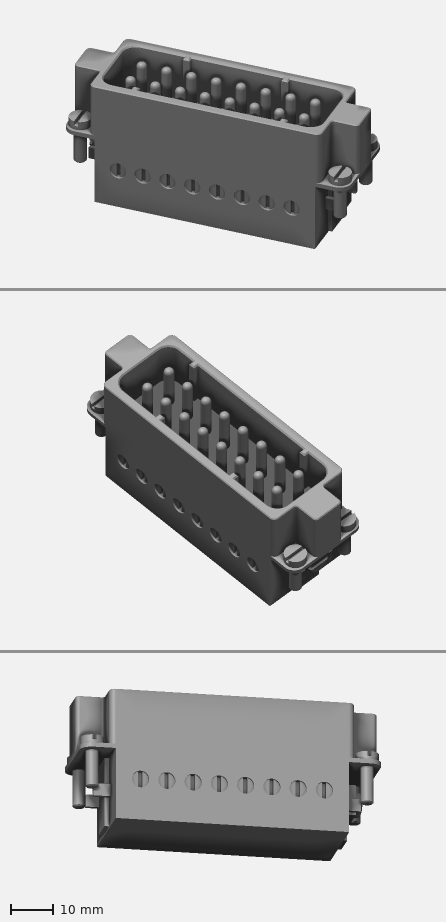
import cadquery as cq

total_length = 72.3
width = 23.0
height = 32.0
lower_length = 56.0

flange_bottom = 17.3
flange_top = 18.4
flange_corner_radius = 3.0

shroud_length = 58.8
tongue_width = 8.7
shroud_corner_radius = 1.4
tongue_corner_radius = 1.0
tongue_root_radius = 0.7
outer_rim_chamfer = 0.25

cavity_length = 55.7
cavity_width = 18.1
cavity_floor = 19.8
cavity_corner_radius = 3.4
inner_rim_chamfer = 0.35
key_width = 1.7
key_height = 1.3
back_key_positions = (-12.5, 12.5)
front_key_positions = (-18.8, 18.8)

contacts_per_row = 8
contact_pitch = 6.3
row_spacing = 7.0
pin_diameter = 2.5
pin_top = 31.4
pin_tip_radius = 1.05
terminal_height = 10.0
terminal_hole_diameter = 4.1
terminal_recess = 0.5
terminal_slot_width = 1.0
terminal_slot_depth = 1.0

screw_x = 33.0
screw_y = 8.0
shank_diameter = 3.1
shank_bottom = 8.4
shank_chamfer = 0.3
screw_head_diameter = 5.5
screw_head_height = 2.2
screw_slot_width = 1.0
screw_slot_depth = 1.2

strip_end_x = 29.1
strip_width = 6.9
strip_bottom = 0.45

wing_end_x = 32.1
wing_outer_y = 5.0
wing_thickness = 1.1
wing_bottom = 7.4
wing_top = 10.4
clamp_end_x = 31.1
clamp_width = 7.7
clamp_bottom = 6.75
clamp_top = 14.15
earth_screw_height = 10.5
earth_screw_diameter = 6.0
earth_screw_end_x = 33.0
earth_screw_edge_radius = 0.75
earth_slot_width = 0.9
earth_slot_depth = 1.0

pick_margin = 0.1


def box(x_range, y_range, z_range):
    """Box spanning the given (low, high) ranges."""
    size = [high - low for low, high in (x_range, y_range, z_range)]
    corner = (x_range[0], y_range[0], z_range[0])
    return cq.Workplane("XY").box(*size, centered=False).translate(corner)


def centered_block(length, depth, bottom, top):
    """Block centred on the Z axis between two heights."""
    return cq.Workplane("XY").workplane(offset=bottom).rect(length, depth).extrude(top - bottom)


def make_shroud():
    """Rounded block with a tongue at each end, filleted at the roots."""
    block = centered_block(shroud_length, width, flange_top, height)
    block = block.edges("|Z").fillet(shroud_corner_radius)
    tongue = centered_block(total_length, tongue_width, flange_top, height)
    tongue = tongue.edges("|Z").fillet(tongue_corner_radius)
    shroud = block.union(tongue)
    root = shroud_length / 2
    half_tongue = tongue_width / 2
    for side in (-1, 1):
        selector = cq.selectors.BoxSelector(
            (side * root - pick_margin, -half_tongue - pick_margin, flange_top),
            (side * root + pick_margin, half_tongue + pick_margin, height),
        )
        shroud = shroud.edges("|Z").edges(selector).fillet(tongue_root_radius)
    return shroud.faces(">Z").edges().chamfer(outer_rim_chamfer)


def make_housing():
    """Lower body, mounting flange, end strips and shroud."""
    flange = centered_block(total_length, width, flange_bottom, flange_top)
    flange = flange.edges("|Z").fillet(flange_corner_radius)
    return (
        centered_block(lower_length, width, 0, flange_top)
        .union(flange)
        .union(centered_block(2 * strip_end_x, strip_width, strip_bottom, flange_bottom))
        .union(make_shroud())
    )


def make_cavity():
    """Cutter for the contact cavity, notched by the keys."""
    cavity = centered_block(cavity_length, cavity_width, cavity_floor, height)
    cavity = cavity.edges("|Z").fillet(cavity_corner_radius)
    key_rows = ((-1, front_key_positions), (1, back_key_positions))
    for side, positions in key_rows:
        wall_y = side * cavity_width / 2
        for x in positions:
            key = centered_block(key_width, 2 * key_height, cavity_floor, height)
            cavity = cavity.cut(key.translate((x, wall_y, 0)))
    return cavity


def make_pin():
    """Round contact pin with a domed tip, standing in the cavity floor."""
    return (
        cq.Workplane("XY")
        .workplane(offset=cavity_floor)
        .circle(pin_diameter / 2)
        .extrude(pin_top - cavity_floor)
        .faces(">Z")
        .edges()
        .fillet(pin_tip_radius)
    )


def make_terminal_cutter():
    """Recess in the -Y wall with the slotted screw face at its bottom."""
    wall_y = -width / 2
    recess = (
        cq.Workplane("XZ", origin=(0, wall_y, terminal_height))
        .circle(terminal_hole_diameter / 2)
        .extrude(-terminal_recess)
    )
    slot = (
        cq.Workplane("XZ", origin=(0, wall_y, terminal_height))
        .circle(terminal_hole_diameter / 2)
        .extrude(-terminal_recess - terminal_slot_depth)
        .intersect(centered_block(terminal_slot_width, 2 * width, 0, height))
    )
    return recess.union(slot)


def make_mounting_screw():
    """Slotted cheese-head screw resting on the flange."""
    shank = (
        cq.Workplane("XY")
        .workplane(offset=shank_bottom)
        .circle(shank_diameter / 2)
        .extrude(flange_top - shank_bottom)
        .faces("<Z")
        .chamfer(shank_chamfer)
    )
    head_top = flange_top + screw_head_height
    head = (
        cq.Workplane("XY")
        .workplane(offset=flange_top)
        .circle(screw_head_diameter / 2)
        .extrude(screw_head_height)
        .cut(centered_block(screw_slot_width, screw_head_diameter, head_top - screw_slot_depth, head_top))
    )
    return shank.union(head)


def make_wings():
    """Tabs beside the earth terminal, alike on both ends."""
    inner_y = wing_outer_y - wing_thickness
    bar = centered_block(2 * wing_end_x, 2 * wing_outer_y, wing_bottom, wing_top)
    return bar.cut(centered_block(2 * wing_end_x, 2 * inner_y, wing_bottom, wing_top))


def make_earth_terminal():
    """Clamp block and round-edged slotted screw on the -X end."""
    half_clamp = clamp_width / 2
    clamp = box((-clamp_end_x, -strip_end_x), (-half_clamp, half_clamp), (clamp_bottom, clamp_top))
    screw = (
        cq.Workplane("YZ", origin=(-earth_screw_end_x, 0, earth_screw_height))
        .circle(earth_screw_diameter / 2)
        .extrude(earth_screw_end_x - strip_end_x)
        .faces("<X")
        .edges()
        .fillet(earth_screw_edge_radius)
    )
    slot = box(
        (-earth_screw_end_x, earth_slot_depth - earth_screw_end_x),
        (-earth_screw_diameter / 2, earth_screw_diameter / 2),
        (earth_screw_height - earth_slot_width / 2, earth_screw_height + earth_slot_width / 2),
    )
    return clamp.union(screw.cut(slot))


def hollow_out(housing):
    """Cut the contact cavity and chamfer its rim."""
    rim = cq.selectors.BoxSelector(
        (-cavity_length / 2 - pick_margin, -cavity_width / 2 - pick_margin, height - pick_margin),
        (cavity_length / 2 + pick_margin, cavity_width / 2 + pick_margin, height + pick_margin),
    )
    return housing.cut(make_cavity()).edges(rim).chamfer(inner_rim_chamfer)


def add_contacts(housing):
    """Add two rows of pins, each pin with a terminal screw in the wall beside it."""
    terminal_cutter = make_terminal_cutter()
    pin = make_pin()
    for i in range(contacts_per_row):
        x = (i - (contacts_per_row - 1) / 2) * contact_pitch
        front_cutter = terminal_cutter.translate((x, 0, 0))
        housing = housing.cut(front_cutter).cut(front_cutter.mirror("XZ"))
        for y in (-row_spacing / 2, row_spacing / 2):
            housing = housing.union(pin.translate((x, y, 0)))
    return housing


def add_mounting_screws(housing):
    """Add a mounting screw at each flange corner."""
    screw = make_mounting_screw()
    for x in (-screw_x, screw_x):
        for y in (-screw_y, screw_y):
            housing = housing.union(screw.translate((x, y, 0)))
    return housing


part = hollow_out(make_housing())
part = add_contacts(part)
part = add_mounting_screws(part)
result = part.union(make_wings()).union(make_earth_terminal())